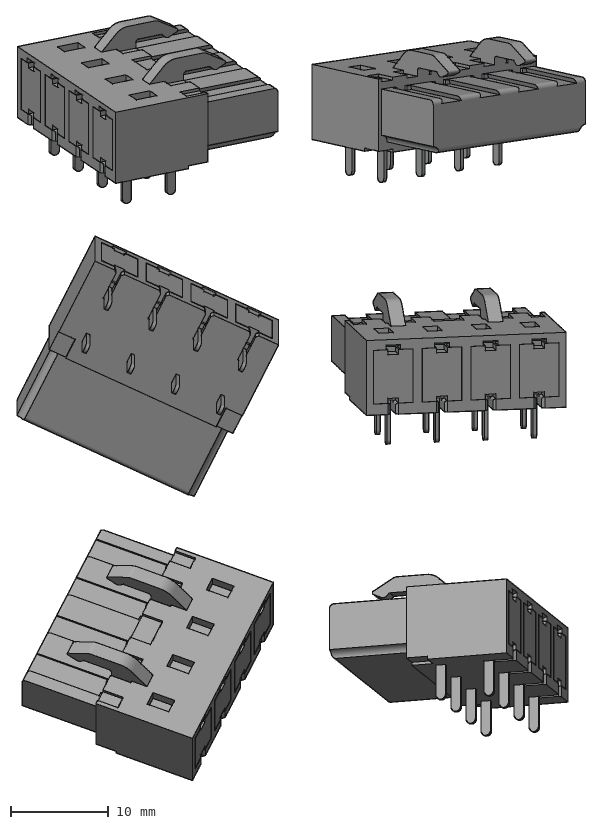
import cadquery as cq
import math

POLES = 4
PITCH = 5.08
POLE_X = [(i - (POLES - 1) / 2) * PITCH for i in range(POLES)]
GAP_X = [(i - POLES / 2) * PITCH for i in range(POLES + 1)]

HOUSING_WIDTH = 20.85
HOUSING_DEPTH = 10.75
HOUSING_HEIGHT = 7.82

INSERT_WIDTH = 4.13
INSERT_BOTTOM = 1.17
INSERT_HEIGHT = 5.59
INSERT_TOP = INSERT_BOTTOM + INSERT_HEIGHT
INSERT_SETBACK = 0.05

NOSE_WIDTH = 20.13
NOSE_LENGTH = 8.35
NOSE_END = HOUSING_DEPTH + NOSE_LENGTH
NOSE_END_RADIUS = 0.5
COVE_RADIUS = 1.55 / 2
GROOVE_DEPTH = 0.44
GROOVE_TOP_WIDTH = 2.25
GROOVE_FLOOR_WIDTH = 2.55
NECK_WIDTH = 1.35
NECK_LENGTH = 0.35

EDGE_POCKET_WIDTH = 3.13
EDGE_POCKET_LENGTH = 2.25
EDGE_POCKET_DEPTH = 0.31
SIDE_LIP = 0.44
CORNER_RELIEF_WIDTH = 1.88
WINDOW_WIDTH = 1.52
WINDOW_START = 3.52
WINDOW_LENGTH = 2.4

NOTCH_WIDTH = 1.13
NOTCH_HEIGHT = 0.52
NOTCH_DEPTH = 1.67
RAMP_RISE = 0.5
SLOT_WIDTH = 0.58
SLOT_FLARE = (NOTCH_WIDTH - SLOT_WIDTH) / 2

PIN_THICKNESS = 0.4
PIN_WIDTH = 1.02
PIN_LENGTH = 3.63
FRONT_PIN_Y = 2.75
REAR_PIN_Y = 7.9

CLIP_WIDTH = 1.55
CLIP_OFFSET = 1.95
CLIP_X = [x + CLIP_OFFSET for x in POLE_X[::2]]
CLIP_HEIGHT = 2.25
CLIP_BACK_Y = 6.77
CLIP_CLEARANCE = 0.6
CLIP_TOP = HOUSING_HEIGHT + CLIP_HEIGHT
CLIP_UNDERSIDE = HOUSING_HEIGHT + CLIP_CLEARANCE
CLIP_NOSE_Y = 13.23
CLIP_TIP = (15.88, 8.55)
CLIP_BARB = (14.35, 7.85)
CLIP_CORE_Y = 13.82
CLIP_BACK_RADIUS = 2.0
CLIP_NOSE_RADIUS = 1.0
CLIP_TIP_RADIUS = 0.19
CLIP_BARB_RADIUS = 0.5
CLIP_ROOT_RADIUS = 0.3


def box(x0, x1, y0, y1, z0, z1):
    return cq.Workplane("XY").box(x1 - x0, y1 - y0, z1 - z0, centered=False).translate((x0, y0, z0))


def centred_box(x, width, y0, y1, z0, z1):
    return box(x - width / 2, x + width / 2, y0, y1, z0, z1)


def rounded_outline(plane, corners):
    """Closed outline from (u, v, radius) corners, each corner rounded by a tangent arc."""
    outline = None
    for i, (u, v, radius) in enumerate(corners):
        corner = cq.Vector(u, v)
        to_last = (cq.Vector(*corners[i - 1][:2]) - corner).normalized()
        to_next = (cq.Vector(*corners[(i + 1) % len(corners)][:2]) - corner).normalized()
        half_angle = to_last.getAngle(to_next) / 2
        setback = radius / math.tan(half_angle)
        start = (corner + to_last * setback).toTuple()[:2]
        if outline is None:
            outline = cq.Workplane(plane).moveTo(*start)
        else:
            outline = outline.lineTo(*start)
        if radius > 0:
            bisector = (to_last + to_next).normalized()
            middle = corner + bisector * (radius / math.sin(half_angle) - radius)
            end = corner + to_next * setback
            outline = outline.threePointArc(middle.toTuple()[:2], end.toTuple()[:2])
    return outline.close()


def make_nose():
    nose = centred_box(0, NOSE_WIDTH, HOUSING_DEPTH, NOSE_END, INSERT_BOTTOM, INSERT_TOP)
    nose = nose.faces(">Y").edges("|X").fillet(NOSE_END_RADIUS)
    for side in (-1, 1):
        cove = (
            cq.Workplane("XZ", origin=(side * NOSE_WIDTH / 2, HOUSING_DEPTH, INSERT_BOTTOM))
            .circle(COVE_RADIUS)
            .extrude(-NOSE_LENGTH)
        )
        nose = nose.cut(cove)
    floor = INSERT_TOP - GROOVE_DEPTH
    for x in POLE_X:
        groove = (
            cq.Workplane("XZ", origin=(x, HOUSING_DEPTH + NECK_LENGTH, 0))
            .moveTo(-GROOVE_FLOOR_WIDTH / 2, floor)
            .lineTo(GROOVE_FLOOR_WIDTH / 2, floor)
            .lineTo(GROOVE_TOP_WIDTH / 2, INSERT_TOP)
            .lineTo(-GROOVE_TOP_WIDTH / 2, INSERT_TOP)
            .close()
            .extrude(-NOSE_LENGTH)
        )
        neck = centred_box(x, NECK_WIDTH, HOUSING_DEPTH, NOSE_END, floor, INSERT_TOP)
        nose = nose.cut(groove).cut(neck)
    return nose


def edge_pockets():
    """Shallow pockets in the top between the poles, open to the mating side."""
    limit = HOUSING_WIDTH / 2 - SIDE_LIP
    pockets = cq.Workplane("XY")
    for x in GAP_X:
        left = max(x - EDGE_POCKET_WIDTH / 2, -limit)
        right = min(x + EDGE_POCKET_WIDTH / 2, limit)
        pockets = pockets.add(box(
            left, right, HOUSING_DEPTH - EDGE_POCKET_LENGTH, HOUSING_DEPTH,
            HOUSING_HEIGHT - EDGE_POCKET_DEPTH, HOUSING_HEIGHT,
        ))
    return pockets.combine()


def corner_reliefs():
    """Steps under the two lower corners on the mating side."""
    left = box(
        -HOUSING_WIDTH / 2, CORNER_RELIEF_WIDTH - HOUSING_WIDTH / 2,
        HOUSING_DEPTH - EDGE_POCKET_LENGTH, HOUSING_DEPTH, 0, EDGE_POCKET_DEPTH,
    )
    return left.union(left.mirror("YZ"))


def lead_in_notch(x):
    """Notch above the insert whose ceiling slopes down to the insert top."""
    return (
        cq.Workplane("YZ", origin=(x - WINDOW_WIDTH / 2, 0, 0))
        .moveTo(0, INSERT_TOP)
        .lineTo(NOTCH_DEPTH, INSERT_TOP)
        .lineTo(0, INSERT_TOP + RAMP_RISE)
        .close()
        .extrude(WINDOW_WIDTH)
    )


def pin_slot(x):
    """Slot below the insert, flared at its mouth and along its upper edges."""
    slot_end = FRONT_PIN_Y + PIN_WIDTH / 2
    slot = centred_box(x, SLOT_WIDTH, 0, slot_end, 0, INSERT_BOTTOM)
    mouth = (
        cq.Workplane("XY", origin=(x, 0, 0))
        .moveTo(-NOTCH_WIDTH / 2, 0)
        .lineTo(NOTCH_WIDTH / 2, 0)
        .lineTo(SLOT_WIDTH / 2, SLOT_FLARE)
        .lineTo(-SLOT_WIDTH / 2, SLOT_FLARE)
        .close()
        .extrude(INSERT_BOTTOM)
    )
    top = (
        cq.Workplane("XZ", origin=(x, 0, INSERT_BOTTOM))
        .moveTo(-NOTCH_WIDTH / 2, 0)
        .radiusArc((-SLOT_WIDTH / 2, -SLOT_FLARE), SLOT_FLARE)
        .lineTo(SLOT_WIDTH / 2, -SLOT_FLARE)
        .radiusArc((NOTCH_WIDTH / 2, 0), SLOT_FLARE)
        .close()
        .extrude(-NOTCH_DEPTH)
    )
    return slot.union(mouth).union(top)


def wire_side_cuts(x):
    """Everything cut for one pole in the wire side and the top of the housing."""
    panel = centred_box(x, INSERT_WIDTH, 0, INSERT_SETBACK, INSERT_BOTTOM, INSERT_TOP)
    upper_notch = centred_box(x, NOTCH_WIDTH, 0, NOTCH_DEPTH, INSERT_TOP - NOTCH_HEIGHT, INSERT_TOP)
    lower_notch = centred_box(x, NOTCH_WIDTH, 0, NOTCH_DEPTH, INSERT_BOTTOM, INSERT_BOTTOM + NOTCH_HEIGHT)
    window = centred_box(
        x, WINDOW_WIDTH, WINDOW_START, WINDOW_START + WINDOW_LENGTH, INSERT_TOP, HOUSING_HEIGHT
    )
    cuts = panel.union(upper_notch).union(lower_notch).union(window)
    return cuts.union(lead_in_notch(x)).union(pin_slot(x))


def make_pin(x, y):
    """Flat solder pin with a rounded end, hanging from the insert."""
    half = PIN_WIDTH / 2
    return (
        cq.Workplane("YZ", origin=(x - PIN_THICKNESS / 2, y, 0))
        .moveTo(-half, INSERT_BOTTOM)
        .lineTo(-half, half - PIN_LENGTH)
        .threePointArc((0, -PIN_LENGTH), (half, half - PIN_LENGTH))
        .lineTo(half, INSERT_BOTTOM)
        .close()
        .extrude(PIN_THICKNESS)
    )


def make_clip(x):
    """Locking hook leaning over the nose; its foot reaches down into the edge pocket."""
    corners = [
        (CLIP_BACK_Y, HOUSING_HEIGHT, 0),
        (CLIP_BACK_Y + CLIP_HEIGHT, CLIP_TOP, CLIP_BACK_RADIUS),
        (CLIP_NOSE_Y, CLIP_TOP, CLIP_NOSE_RADIUS),
        (*CLIP_TIP, CLIP_TIP_RADIUS),
        (*CLIP_BARB, CLIP_BARB_RADIUS),
        (CLIP_CORE_Y, CLIP_UNDERSIDE, 0),
        (HOUSING_DEPTH, CLIP_UNDERSIDE, CLIP_ROOT_RADIUS),
        (HOUSING_DEPTH, HOUSING_HEIGHT - EDGE_POCKET_DEPTH, 0),
        (CLIP_BACK_Y, HOUSING_HEIGHT - EDGE_POCKET_DEPTH, 0),
    ]
    hook = rounded_outline("YZ", corners).extrude(CLIP_WIDTH)
    return hook.translate((x - CLIP_WIDTH / 2, 0, 0))


result = centred_box(0, HOUSING_WIDTH, 0, HOUSING_DEPTH, 0, HOUSING_HEIGHT)
result = result.cut(edge_pockets()).cut(corner_reliefs())
result = result.union(make_nose())
for pole_x in POLE_X:
    result = result.cut(wire_side_cuts(pole_x))
    for pin_y in (FRONT_PIN_Y, REAR_PIN_Y):
        result = result.union(make_pin(pole_x, pin_y))
for clip_x in CLIP_X:
    result = result.union(make_clip(clip_x))